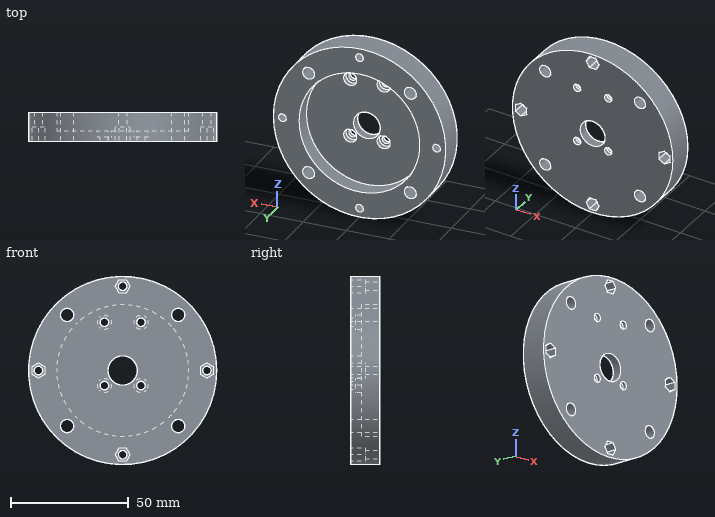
import cadquery as cq
import math

disc_diameter = 80.0
thickness = 12.3
bore_diameter = 12.3

mount_hole_diameter = 5.5
mount_half_spacing = 23.6

recess_diameter = 56.0
web_thickness = 4.6

motor_offset_z = 7.0
small_hole_diameter = 3.5
small_circle_radius = 15.5
small_angles = (60, 120, 240, 300)
small_counterbore_diameter = 6.0
small_web_thickness = 2.0

screw_hole_diameter = small_hole_diameter
screw_circle_radius = 35.8
nut_across_flats = 5.5
nut_across_corners = nut_across_flats / math.cos(math.radians(30))
nut_pocket_depth = thickness / 2


def front_plane():
    """Front face plane: local x is X, local y is Z, normal points to -Y."""
    return cq.Workplane("XZ")


def through_holes(points, diameter):
    """Cylinders through the full thickness at the given (x, z) points."""
    return front_plane().pushPoints(points).circle(diameter / 2).extrude(-thickness)


def nut_pocket(angle):
    """Hexagonal pocket at an angle in degrees, with one flat facing the disc axis."""
    flat_turn = 30
    hexagon = front_plane().polygon(6, nut_across_corners).extrude(-nut_pocket_depth)
    hexagon = hexagon.rotate((0, 0, 0), (0, 1, 0), flat_turn)
    hexagon = hexagon.translate((screw_circle_radius, 0, 0))
    return hexagon.rotate((0, 0, 0), (0, 1, 0), angle)


def back_pockets(points, diameter, web):
    """Round pockets from the back face that leave a web of the given thickness in front."""
    return (
        front_plane()
        .workplane(offset=-web)
        .pushPoints(points)
        .circle(diameter / 2)
        .extrude(web - thickness)
    )


mount_points = [
    (x, z)
    for x in (-mount_half_spacing, mount_half_spacing)
    for z in (-mount_half_spacing, mount_half_spacing)
]
small_points = [
    (
        small_circle_radius * math.cos(math.radians(angle)),
        motor_offset_z + small_circle_radius * math.sin(math.radians(angle)),
    )
    for angle in small_angles
]
screw_points = [
    (screw_circle_radius, 0),
    (0, screw_circle_radius),
    (-screw_circle_radius, 0),
    (0, -screw_circle_radius),
]

result = front_plane().circle(disc_diameter / 2).extrude(-thickness)

result = result.cut(back_pockets([(0, 0)], recess_diameter, web_thickness))
result = result.cut(through_holes([(0, 0)], bore_diameter))

result = result.cut(through_holes(mount_points, mount_hole_diameter))

result = result.cut(back_pockets(small_points, small_counterbore_diameter, small_web_thickness))
result = result.cut(through_holes(small_points, small_hole_diameter))

result = result.cut(through_holes(screw_points, screw_hole_diameter))
for pocket_angle in (0, 90, 180, 270):
    result = result.cut(nut_pocket(pocket_angle))